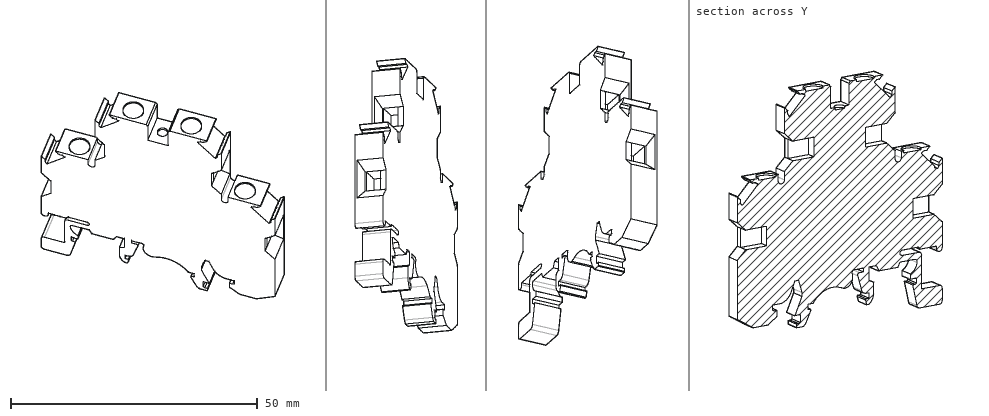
import cadquery as cq

LENGTH = 50.0
THICKNESS = 6.0
HEIGHT = 50.8
MID_X = LENGTH / 2

TIER_RISE = 16.9
LOWER_TOP_Z = HEIGHT - TIER_RISE
UPPER_INSET = 11.5
UPPER_LENGTH = LENGTH - 2 * UPPER_INSET
BASE_Z = 10.65

CENTRE_SLOT_WIDTH = 4.35
CENTRE_SLOT_DEPTH = 5.05
SLOT_CHAMFER_X = 0.35
SLOT_CHAMFER_Z = 0.45
SIDE_SLOT_WIDTH = 1.4
SIDE_SLOT_DEPTH = 2.1

GROOVE_TOP_Z = 6.45
GROOVE_BOTTOM_Z = 5.25
CATCH_BOTTOM_Z = 4.15
CATCH_TIP_Z = 3.9

LUG_RADIUS = 0.75
LUG_BOTTOM_Z = 11.2
GAP_ROOF_Z = 12.4
GAP_SLOT_TOP_Z = 12.9
GAP_SLOT_HEIGHT = 1.0
GAP_SLOT_END_X = 10.3
ARM_SHOULDER_RADIUS = 0.75

ARM_LEFT_X = 5.05
RELEASE_FOOT_TOP_Z = 4.05
RELEASE_FOOT_RADIUS = 0.75
ARM_GROOVE_X = 6.4
ARM_HOOK_X = 7.85
ARM_ROOT_Z = 10.45
PAD_BOTTOM_Z = 9.45

HOOK_NECK_LEFT_X = 17.8
HOOK_NECK_RIGHT_X = 19.3
HOOK_LEFT_X = 16.7
HOOK_GROOVE_X = 17.95
HOOK_TIP_Z = 2.8
HOOK_SHOULDER_Z = 9.95

SPRING_LEFT_GROOVE_X = 32.7
SPRING_RIGHT_GROOVE_X = 34.65
SPRING_GROOVE_TOP_Z = 3.35
SPRING_GROOVE_BOTTOM_Z = 1.6
SPRING_TOE_X = 35.55
SPRING_TOE_Z = 0.7
SPRING_WAIST_X = 34.25

FIXED_GROOVE_X = 41.3
FIXED_LIP_X = 40.25
FIXED_BOTTOM_Z = 2.45
FIXED_OUTER_Z = 4.9

NOTCH_LIP_START = 3.15
NOTCH_TIP = (3.05, 0.1)
NOTCH_LIP_INNER = (3.8, 0.85)
NOTCH_LIP_ROOT = (4.5, 0.85)
NOTCH_FLOOR = (5.1, 1.25)
NOTCH_OVERSHOOT = 0.5

ENTRY_BELOW_TOP = 12.55
FUNNEL_DEPTH = 2.1
FUNNEL_MOUTH_Y = 5.5
FUNNEL_MOUTH_HEIGHT = 8.0
FUNNEL_THROAT_Y = 4.45
FUNNEL_THROAT_HEIGHT = 4.05
WIRE_HOLE_NEAR_Y = 1.15
WIRE_HOLE_FAR_Y = 4.2
WIRE_HOLE_DEPTH = 5.1

SCREW_DIAMETER = 4.2
SCREW_RECESS_DEPTH = 0.4
SCREW_INSET = 7.3
SCREW_Y = (WIRE_HOLE_NEAR_Y + WIRE_HOLE_FAR_Y) / 2
SOCKET_DIAMETER = 2.15
SOCKET_DEPTH = 0.5
SOCKET_Y = 2.9


def profile(x, z):
    """Start an outline on the front face."""
    return cq.Workplane("XZ").moveTo(x, z)


def through(outline):
    """Close an outline and extrude it across the whole thickness."""
    return outline.close().extrude(-THICKNESS)


def block(x, z, length, height):
    """Full-thickness box with its lower left corner at (x, z)."""
    return cq.Workplane("XY").box(length, THICKNESS, height, centered=False).translate((x, 0, z))


def both_ends(solid):
    """The solid together with its mirror image at the other end of the block."""
    return solid.union(solid.mirror("YZ", (MID_X, 0, 0)))


def marker_notch(corner_x, top_z):
    """Undercut 45 degree notch in the left corner of a tier, the same along both sides."""
    top_side = [(NOTCH_LIP_START, 0), NOTCH_TIP, NOTCH_LIP_INNER, NOTCH_LIP_ROOT, NOTCH_FLOOR]
    outer_side = [(inward, along) for along, inward in reversed(top_side)]
    outside = [
        (-NOTCH_OVERSHOOT, NOTCH_LIP_START),
        (-NOTCH_OVERSHOOT, -NOTCH_OVERSHOOT),
        (NOTCH_LIP_START, -NOTCH_OVERSHOOT),
    ]
    points = [(corner_x + dx, top_z - dz) for dx, dz in top_side + outer_side + outside]
    return through(cq.Workplane("XZ").polyline(points))


def side_slot():
    """Round-bottomed slot between the lower tier top and the upper tier side."""
    radius = SIDE_SLOT_WIDTH / 2
    left = UPPER_INSET - SIDE_SLOT_WIDTH
    bottom = LOWER_TOP_Z - SIDE_SLOT_DEPTH
    return through(
        profile(left, LOWER_TOP_Z)
        .lineTo(left, bottom + radius)
        .threePointArc((left + radius, bottom), (UPPER_INSET, bottom + radius))
        .lineTo(UPPER_INSET, LOWER_TOP_Z)
    )


def centre_slot():
    """Square slot in the top with chamfered rims."""
    left = MID_X - CENTRE_SLOT_WIDTH / 2
    right = left + CENTRE_SLOT_WIDTH
    floor = HEIGHT - CENTRE_SLOT_DEPTH
    return through(
        profile(left - SLOT_CHAMFER_X, HEIGHT)
        .lineTo(left, HEIGHT - SLOT_CHAMFER_Z)
        .lineTo(left, floor)
        .lineTo(right, floor)
        .lineTo(right, HEIGHT - SLOT_CHAMFER_Z)
        .lineTo(right + SLOT_CHAMFER_X, HEIGHT)
    )


def wire_entry(side_x, centre_z):
    """Funnel and wire hole entering the left side of a tier."""
    funnel = (
        cq.Workplane("YZ", origin=(side_x, 0, centre_z))
        .rect(2 * FUNNEL_MOUTH_Y, FUNNEL_MOUTH_HEIGHT)
        .workplane(offset=FUNNEL_DEPTH)
        .rect(2 * FUNNEL_THROAT_Y, FUNNEL_THROAT_HEIGHT)
        .loft()
    )
    hole = (
        cq.Workplane("YZ", origin=(side_x + FUNNEL_DEPTH, SCREW_Y, centre_z))
        .rect(WIRE_HOLE_FAR_Y - WIRE_HOLE_NEAR_Y, FUNNEL_THROAT_HEIGHT)
        .extrude(WIRE_HOLE_DEPTH)
    )
    return funnel.union(hole)


def round_recess(x, y, top_z, diameter, depth):
    """Blind round recess sunk from a horizontal face."""
    return cq.Workplane("XY", origin=(x, y, top_z)).circle(diameter / 2).extrude(-depth)


def release_gap():
    """Space below the left end: frees the lug at the edge and the top of the clip arm."""
    lug_centre_z = LUG_BOTTOM_Z + LUG_RADIUS
    lug_right = 2 * LUG_RADIUS
    slot_centre_x = GAP_SLOT_END_X - GAP_SLOT_HEIGHT / 2
    slot_bottom = GAP_SLOT_TOP_Z - GAP_SLOT_HEIGHT
    return through(
        profile(0, BASE_Z)
        .lineTo(0, lug_centre_z)
        .threePointArc((LUG_RADIUS, LUG_BOTTOM_Z), (lug_right, lug_centre_z))
        .lineTo(lug_right, GAP_ROOF_Z)
        .lineTo(5.5, GAP_ROOF_Z)
        .lineTo(5.8, GAP_SLOT_TOP_Z)
        .lineTo(slot_centre_x, GAP_SLOT_TOP_Z)
        .tangentArcPoint((slot_centre_x, slot_bottom), relative=False)
        .lineTo(ARM_LEFT_X + ARM_SHOULDER_RADIUS, slot_bottom)
        .tangentArcPoint((ARM_LEFT_X, slot_bottom - ARM_SHOULDER_RADIUS), relative=False)
        .lineTo(ARM_LEFT_X, BASE_Z)
    )


def clip_arm():
    """Flexible rail clip with its release foot, hook and the stop pad beside it."""
    return through(
        profile(ARM_LEFT_X, BASE_Z)
        .lineTo(ARM_LEFT_X, RELEASE_FOOT_TOP_Z)
        .lineTo(RELEASE_FOOT_RADIUS, RELEASE_FOOT_TOP_Z)
        .tangentArcPoint((0, RELEASE_FOOT_TOP_Z - RELEASE_FOOT_RADIUS), relative=False)
        .lineTo(0, RELEASE_FOOT_RADIUS)
        .tangentArcPoint((RELEASE_FOOT_RADIUS, 0), relative=False)
        .lineTo(5.45, 0)
        .tangentArcPoint((6.3, RELEASE_FOOT_RADIUS), relative=False)
        .lineTo(7.3, GROOVE_BOTTOM_Z)
        .lineTo(6.7, GROOVE_BOTTOM_Z)
        .lineTo(ARM_GROOVE_X, 5.5)
        .lineTo(ARM_GROOVE_X, GROOVE_TOP_Z)
        .lineTo(ARM_HOOK_X, GROOVE_TOP_Z)
        .lineTo(ARM_HOOK_X, 7.6)
        .threePointArc((6.8, 8.45), (6.25, 9.8))
        .threePointArc((6.35, 10.25), (6.75, ARM_ROOT_Z))
        .lineTo(10.3, ARM_ROOT_Z)
        .lineTo(10.8, PAD_BOTTOM_Z)
        .lineTo(15.5, PAD_BOTTOM_Z)
        .lineTo(16.1, BASE_Z)
    )


def latch_hook():
    """Hanging hook in the middle of the rail opening."""
    return through(
        profile(HOOK_NECK_LEFT_X, BASE_Z)
        .lineTo(HOOK_NECK_LEFT_X, 7.85)
        .lineTo(HOOK_LEFT_X, 7.3)
        .lineTo(HOOK_LEFT_X, 4.9)
        .threePointArc((17.0, 3.75), (17.9, HOOK_TIP_Z))
        .lineTo(18.45, HOOK_TIP_Z)
        .lineTo(18.8, CATCH_TIP_Z)
        .lineTo(18.65, CATCH_BOTTOM_Z)
        .lineTo(HOOK_GROOVE_X, CATCH_BOTTOM_Z)
        .lineTo(HOOK_GROOVE_X, GROOVE_BOTTOM_Z)
        .lineTo(18.6, GROOVE_BOTTOM_Z)
        .threePointArc((19.3, 5.5), (19.7, 6.05))
        .lineTo(20.7, 9.35)
        .threePointArc((20.6, 9.75), (20.25, HOOK_SHOULDER_Z))
        .lineTo(HOOK_NECK_RIGHT_X, HOOK_SHOULDER_Z)
        .lineTo(HOOK_NECK_RIGHT_X, BASE_Z)
    )


def spring_foot():
    """Rounded saddle running into a slanted foot that is notched on both sides."""
    return through(
        profile(21.45, BASE_Z)
        .threePointArc((21.85, 10.45), (21.95, 10.05))
        .threePointArc((22.0, 8.3), (23.8, 7.1))
        .lineTo(25.0, 7.5)
        .threePointArc((26.85, 7.8), (29.55, 7.0))
        .threePointArc((30.65, 6.2), (31.45, GROOVE_BOTTOM_Z))
        .lineTo(SPRING_LEFT_GROOVE_X, GROOVE_BOTTOM_Z)
        .lineTo(SPRING_LEFT_GROOVE_X, CATCH_BOTTOM_Z)
        .lineTo(32.1, CATCH_BOTTOM_Z)
        .lineTo(31.95, CATCH_TIP_Z)
        .lineTo(33.15, 1.35)
        .lineTo(33.8, SPRING_TOE_Z)
        .lineTo(35.45, SPRING_TOE_Z)
        .lineTo(SPRING_TOE_X, 0.85)
        .lineTo(SPRING_TOE_X, SPRING_GROOVE_BOTTOM_Z)
        .lineTo(35.0, SPRING_GROOVE_BOTTOM_Z)
        .lineTo(SPRING_RIGHT_GROOVE_X, 1.8)
        .lineTo(SPRING_RIGHT_GROOVE_X, SPRING_GROOVE_TOP_Z)
        .lineTo(35.95, SPRING_GROOVE_TOP_Z)
        .lineTo(SPRING_WAIST_X, 7.2)
        .lineTo(SPRING_WAIST_X, 8.05)
        .lineTo(35.05, BASE_Z)
    )


def fixed_foot():
    """Solid right foot with the rail groove on its inner side."""
    return through(
        profile(35.85, BASE_Z)
        .lineTo(36.65, 8.9)
        .threePointArc((37.55, 7.35), (39.25, GROOVE_TOP_Z))
        .lineTo(FIXED_GROOVE_X, GROOVE_TOP_Z)
        .lineTo(FIXED_GROOVE_X, 5.5)
        .lineTo(40.95, GROOVE_BOTTOM_Z)
        .lineTo(FIXED_LIP_X, GROOVE_BOTTOM_Z)
        .lineTo(FIXED_LIP_X, CATCH_TIP_Z)
        .lineTo(42.45, FIXED_BOTTOM_Z)
        .lineTo(46.0, FIXED_BOTTOM_Z)
        .lineTo(LENGTH, FIXED_OUTER_Z)
        .lineTo(LENGTH, BASE_Z)
    )


result = block(0, BASE_Z, LENGTH, LOWER_TOP_Z - BASE_Z)
result = result.union(block(UPPER_INSET, BASE_Z, UPPER_LENGTH, HEIGHT - BASE_Z))
result = result.cut(release_gap())
for foot in (clip_arm(), latch_hook(), spring_foot(), fixed_foot()):
    result = result.union(foot)

for side_x, top_z in ((0, LOWER_TOP_Z), (UPPER_INSET, HEIGHT)):
    screw_recess = round_recess(side_x + SCREW_INSET, SCREW_Y, top_z, SCREW_DIAMETER, SCREW_RECESS_DEPTH)
    result = result.cut(both_ends(marker_notch(side_x, top_z)))
    result = result.cut(both_ends(wire_entry(side_x, top_z - ENTRY_BELOW_TOP)))
    result = result.cut(both_ends(screw_recess))

result = result.cut(both_ends(side_slot()))
result = result.cut(centre_slot())
result = result.cut(round_recess(MID_X, SOCKET_Y, HEIGHT - CENTRE_SLOT_DEPTH, SOCKET_DIAMETER, SOCKET_DEPTH))